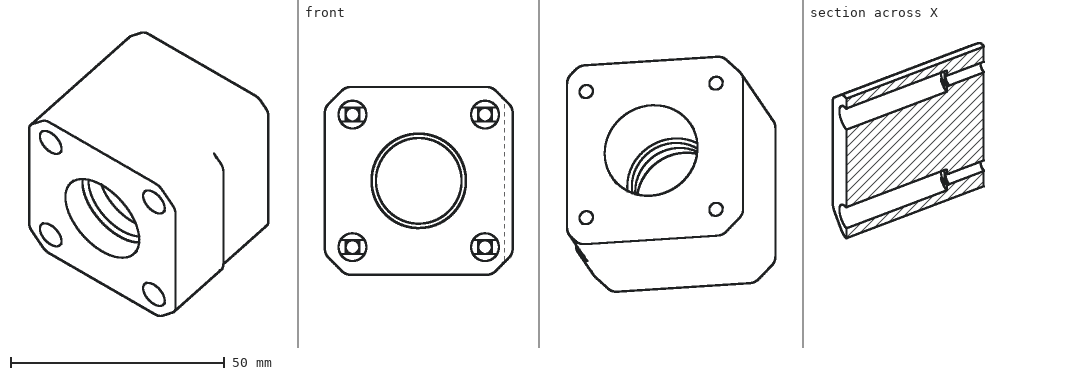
import cadquery as cq

width = 44.0
length = 37.0
corner_chamfer = 4.9
corner_radius = 3.0

step_depth = 1.9
step_start = 17.8

seat_diameter = 22.2
waist_diameter = 20.0
seat_depth = 6.3
cone_diameter = 22.0
cone_length = (cone_diameter - waist_diameter) / 2
waist_end = 11.2

screw_spacing = 31.0
screw_diameter = 3.2
slot_width = 3.3
head_diameter = 6.5
head_depth = 27.0
bridge_layer = 0.3


def front_plane(y):
    """Sketch plane at the given Y, with local axes X and Z; extrude negative to go toward +Y."""
    return cq.Workplane("XZ", origin=(0, y, 0))


def rounded_octagon(x_max, start, end):
    """Block with chamfered, rounded long edges whose +X side lies at x_max."""
    half = width / 2
    flat = half - corner_chamfer
    x_break = half + flat - x_max
    outline = [
        (-flat, -half), (flat, -half), (x_max, -x_break), (x_max, x_break),
        (flat, half), (-flat, half), (-half, flat), (-half, -flat),
    ]
    prism = front_plane(start).polyline(outline).close().extrude(start - end)
    return prism.edges("|Y").fillet(corner_radius)


def make_body():
    """Full-width front block joined to the narrower back block."""
    front = rounded_octagon(width / 2, 0, step_start)
    back = rounded_octagon(width / 2 - step_depth, step_start, length)
    return front.union(back)


def make_bore():
    """Revolved cutter for the stepped central bore."""
    seat = seat_diameter / 2
    cone = cone_diameter / 2
    waist = waist_diameter / 2
    profile = [
        (0, 0), (seat, 0), (seat, seat_depth), (cone, seat_depth),
        (waist, seat_depth + cone_length), (waist, waist_end),
        (seat, waist_end), (seat, length), (0, length),
    ]
    return cq.Workplane("XY").polyline(profile).close().revolve(360, (0, 0, 0), (0, 1, 0))


def make_screw_hole():
    """Head pocket, two bridging layers (slot, then square) and the through hole."""
    head = front_plane(0).circle(head_diameter / 2).extrude(-head_depth)
    disc = front_plane(head_depth).circle(head_diameter / 2).extrude(-bridge_layer)
    slot = front_plane(head_depth).rect(head_diameter, slot_width).extrude(-bridge_layer)
    square = front_plane(head_depth).rect(slot_width, slot_width).extrude(-2 * bridge_layer)
    shank = front_plane(0).circle(screw_diameter / 2).extrude(-length)
    return head.union(disc.intersect(slot)).union(square).union(shank)


result = make_body().cut(make_bore())
screw_hole = make_screw_hole()
for x_side in (-1, 1):
    for z_side in (-1, 1):
        offset = (x_side * screw_spacing / 2, 0, z_side * screw_spacing / 2)
        result = result.cut(screw_hole.translate(offset))